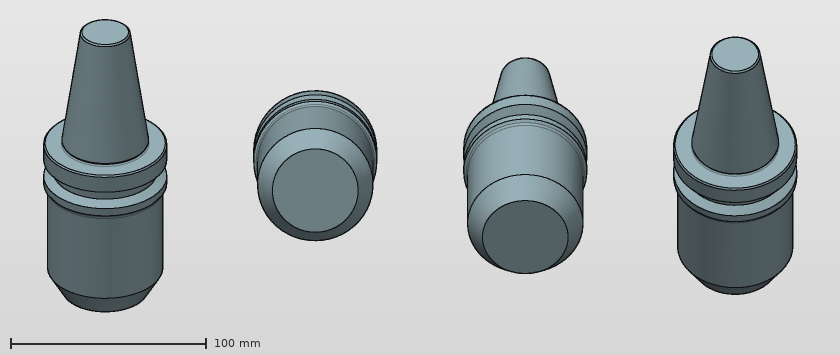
import cadquery as cq
import math

total_length = 155.4
flange_radius = 31.5

body_radius = 29.5
nose_tip_radius = 21.9
nose_height = 13.0

flange_top = 88.3
flange_top_chamfer = 0.8
groove_radius = 26.5
groove_bottom = 71.2
groove_top = 75.8
groove_flank_height = 2.6

body_fillet_start = 61.2
body_fillet_radius = 2.3
diagonal = math.sqrt(0.5)
body_fillet_end_radius = body_radius + body_fillet_radius * (1 - diagonal)
body_fillet_end = body_fillet_start + body_fillet_radius * diagonal
body_fillet_middle = (
    body_radius + body_fillet_radius * (1 - math.cos(math.pi / 8)),
    body_fillet_start + body_fillet_radius * math.sin(math.pi / 8),
)
flange_bottom_edge = body_fillet_end + flange_radius - body_fillet_end_radius

gauge_radius = 22.2
gauge_height = 90.0
taper_ratio = 7 / 24
taper_end_chamfer = 0.8


def taper_radius(height):
    """Radius of the steep taper at a given height."""
    return gauge_radius - (height - gauge_height) * taper_ratio / 2


chamfer_start = total_length - taper_end_chamfer
taper_end_radius = taper_radius(total_length) - taper_end_chamfer

relief_radius = 21.6
relief_fillet_radius = 0.8
relief_foot_radius = relief_radius + relief_fillet_radius
relief_fillet_top = flange_top + relief_fillet_radius
relief_fillet_middle = (
    relief_foot_radius - relief_fillet_radius * diagonal,
    relief_fillet_top - relief_fillet_radius * diagonal,
)

half_section = (
    cq.Workplane("XZ")
    .moveTo(0, 0)
    .lineTo(nose_tip_radius, 0)
    .lineTo(body_radius, nose_height)
    .lineTo(body_radius, body_fillet_start)
    .threePointArc(body_fillet_middle, (body_fillet_end_radius, body_fillet_end))
    .lineTo(flange_radius, flange_bottom_edge)
    .lineTo(flange_radius, groove_bottom - groove_flank_height)
    .lineTo(groove_radius, groove_bottom)
    .lineTo(groove_radius, groove_top)
    .lineTo(flange_radius, groove_top + groove_flank_height)
    .lineTo(flange_radius, flange_top - flange_top_chamfer)
    .lineTo(flange_radius - flange_top_chamfer, flange_top)
    .lineTo(relief_foot_radius, flange_top)
    .threePointArc(relief_fillet_middle, (relief_radius, relief_fillet_top))
    .lineTo(gauge_radius, gauge_height)
    .lineTo(taper_radius(chamfer_start), chamfer_start)
    .lineTo(taper_end_radius, total_length)
    .lineTo(0, total_length)
    .close()
)

result = half_section.revolve(360, (0, 0), (0, 1))